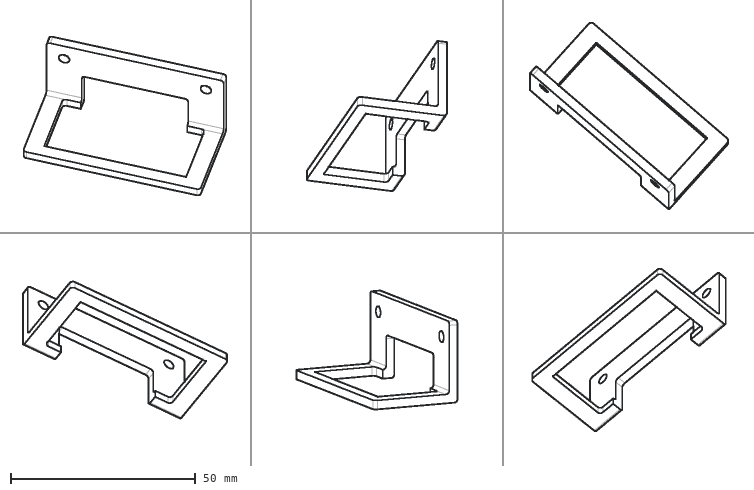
import cadquery as cq

width = 50.0
depth = 25.0
height = 22.5
thickness = 2.5
corner_radius = 1.0

hole_diameter = 3.0
hole_inset = 5.0

notch_width = 30.0
notch_top = 12.0

side_rail_width = 5.0
front_rail_width = 3.5
bend_tab_depth = thickness + corner_radius

front_y = -depth
window_width = width - 2 * side_rail_width
window_front_y = front_y + front_rail_width
window_back_y = -bend_tab_depth


def box_between(size_x, y_min, y_max, z_min, z_max):
    """Box centred on X, spanning the given Y and Z limits."""
    box = cq.Workplane("XY").box(size_x, y_max - y_min, z_max - z_min, centered=(True, False, False))
    return box.translate((0, y_min, z_min))


def make_angle():
    """Base and wall joined by a bend rounded inside and outside, with rounded free corners."""
    profile = (
        cq.Workplane("YZ")
        .polyline([
            (0, 0),
            (0, height),
            (-thickness, height),
            (-thickness, thickness),
            (front_y, thickness),
            (front_y, 0),
        ])
        .close()
    )
    angle = profile.extrude(width / 2, both=True)
    inner_bend = cq.selectors.NearestToPointSelector((0, -thickness, thickness))
    angle = angle.edges(inner_bend).fillet(corner_radius)
    outer_bend = cq.selectors.NearestToPointSelector((0, 0, 0))
    angle = angle.edges(outer_bend).fillet(corner_radius)
    angle = angle.faces("<Y").edges("|Z").fillet(corner_radius)
    return angle.faces(">Z").edges("|Y").fillet(corner_radius)


def make_notch():
    """Cutter for the wall notch, rounded at its top corners and open through the bend."""
    notch = box_between(notch_width, window_back_y, 0, 0, notch_top)
    return notch.faces(">Z").edges("|Y").fillet(corner_radius)


def make_window():
    """Cutter for the base window: rounded corners at the bend, sharp corners at the front."""
    window = box_between(window_width, window_front_y, window_back_y, 0, thickness)
    return window.faces(">Y").edges("|Z").fillet(corner_radius)


def make_holes():
    """Cutters for the pair of mounting holes through the wall."""
    hole_x = width / 2 - hole_inset
    hole_z = height - hole_inset
    return (
        cq.Workplane("XZ")
        .pushPoints([(-hole_x, hole_z), (hole_x, hole_z)])
        .circle(hole_diameter / 2)
        .extrude(thickness)
    )


result = make_angle().cut(make_notch()).cut(make_window()).cut(make_holes())